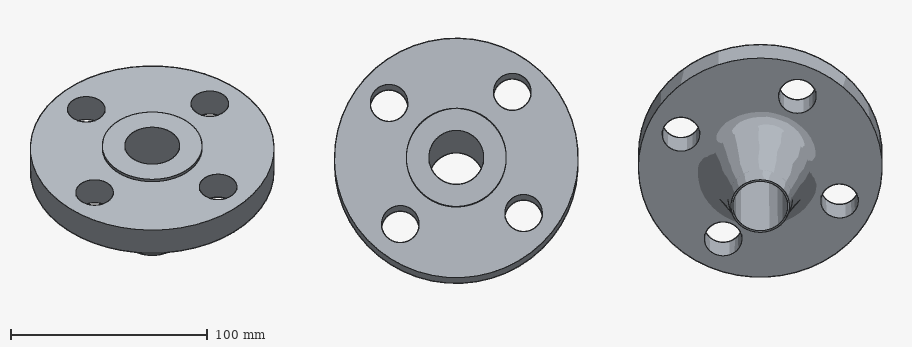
import cadquery as cq

flange_diameter = 123.8
total_height = 61.9

flange_thickness = 15.9
face_diameter = 50.8
face_height = 1.6

neck_root_diameter = 54.2
land_diameter = 32.7
tip_diameter = 29.7
tip_height = 7.9
land_height = 0.4
neck_fillet_radius = 8.0

bore_diameter = 27.9
bolt_hole_diameter = 19.1
bolt_circle_diameter = 88.9
bolt_hole_count = 4

flange_top = total_height - face_height
flange_bottom = flange_top - flange_thickness


def make_body():
    """Revolve the half outline of the neck, flange and raised face about Z."""
    return (
        cq.Workplane("XZ")
        .moveTo(0, 0)
        .lineTo(tip_diameter / 2, 0)
        .lineTo(land_diameter / 2, tip_height)
        .lineTo(land_diameter / 2, tip_height + land_height)
        .lineTo(neck_root_diameter / 2, flange_bottom)
        .lineTo(flange_diameter / 2, flange_bottom)
        .lineTo(flange_diameter / 2, flange_top)
        .lineTo(face_diameter / 2, flange_top)
        .lineTo(face_diameter / 2, total_height)
        .lineTo(0, total_height)
        .close()
        .revolve(360, (0, 0, 0), (0, 1, 0))
    )

def round_neck_root(body):
    """Blend the neck into the underside of the flange."""
    root_edge = cq.selectors.RadiusNthSelector(-2)
    return body.edges(root_edge).fillet(neck_fillet_radius)


def cut_holes(body):
    """Cut the central bore and the ring of bolt holes through the part."""
    bore = cq.Workplane("XY").circle(bore_diameter / 2).extrude(total_height)
    bolt_holes = (
        cq.Workplane("XY")
        .polarArray(bolt_circle_diameter / 2, 0, 360, bolt_hole_count)
        .circle(bolt_hole_diameter / 2)
        .extrude(total_height)
    )
    return body.cut(bore).cut(bolt_holes)


result = cut_holes(round_neck_root(make_body()))